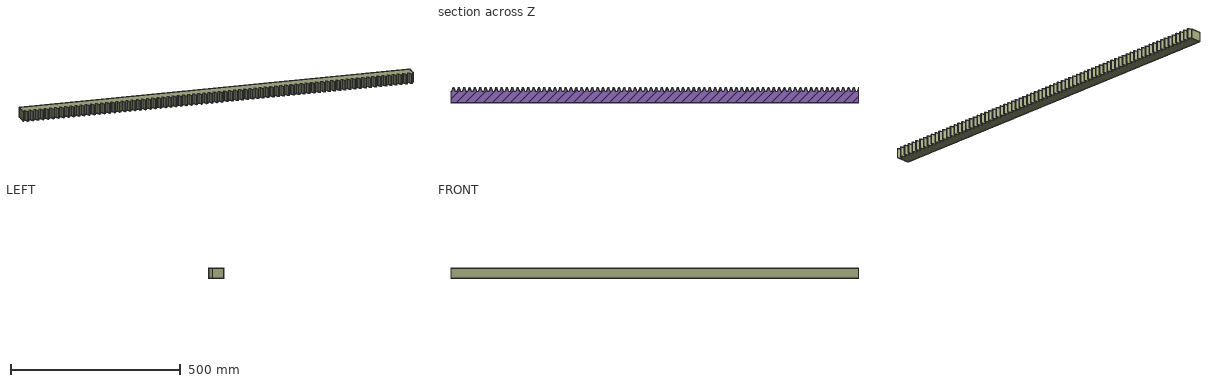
import cadquery as cq
import math

LENGTH = 1200.0
HEIGHT = 45.0
WIDTH = 30.0
MODULE = 5.0
PRESSURE_ANGLE = math.radians(20.0)
TIP_WIDTH = 3.22

PITCH = math.pi * MODULE
TOOTH_DEPTH = 2.25 * MODULE
ROOT_LEVEL = HEIGHT - TOOTH_DEPTH
HALF_TIP = TIP_WIDTH / 2
HALF_ROOT = HALF_TIP + TOOTH_DEPTH * math.tan(PRESSURE_ANGLE)

FIRST_TOOTH = PITCH / 2
TOOTH_COUNT = math.ceil(LENGTH / PITCH)


def tooth_corners(center):
    """Corners of one straight-flanked tooth, in order of increasing X."""
    return [
        (center - HALF_ROOT, ROOT_LEVEL),
        (center - HALF_TIP, HEIGHT),
        (center + HALF_TIP, HEIGHT),
        (center + HALF_ROOT, ROOT_LEVEL),
    ]


def make_toothed_bar():
    """Bar with every tooth complete, so slightly longer than the rack."""
    outline = [(0, 0), (0, ROOT_LEVEL)]
    for index in range(TOOTH_COUNT):
        outline += tooth_corners(FIRST_TOOTH + index * PITCH)
    bar_end = outline[-1][0]
    outline.append((bar_end, 0))
    return cq.Workplane("XY").polyline(outline).close().extrude(WIDTH)


def trim_to_length(bar):
    """Cut the bar square at its length, through the rising flank of the last tooth."""
    envelope = cq.Workplane("XY").box(LENGTH, HEIGHT, WIDTH, centered=False)
    return bar.intersect(envelope).solids()


result = trim_to_length(make_toothed_bar())